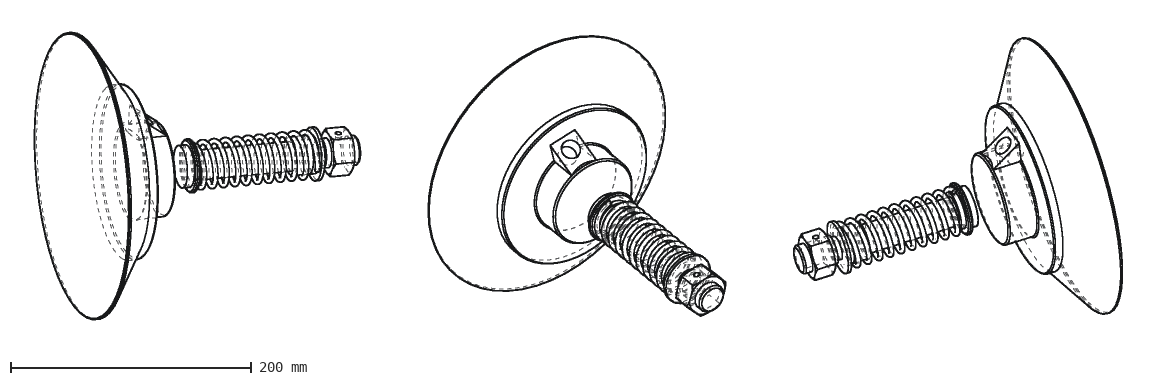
import cadquery as cq
import math

OVERALL_LENGTH = 242.0
TILT = 13.0

CUP_DIA = 239.8
CUP_FACE_DIA = 237.6
LIP_HEIGHT = 2.2
LIP_CHAMFER = 0.7
RING_DIA = 147.0
RING_BOTTOM = 34.4
RING_TOP = 42.4
RING_CHAMFER = 1.2
HUB_DIA = 80.0
HUB_TOP = 69.2
HUB_CHAMFER = 1.5
HUB_FOOT = 1.2

PORT_WIDTH = 25.7
PORT_TOP = HUB_TOP - HUB_CHAMFER
PORT_TOP_REACH = 38.2
PORT_BASE_REACH = 56.5
PORT_HOLE_DIA = 16.0
PORT_HOLE_DEPTH = 17.0
PORT_HOLE_HEIGHT = 52.3

BASE_DIA = 35.5
BASE_START = 87.0
FLANGE_DIA = 45.0
LOWER_FLANGE_START = 93.5
LOWER_FLANGE_END = 97.5
LOWER_FLANGE_CHAMFER = 1.2
LOWER_COLLAR_END = 102.0
COLLAR_DIA = 33.0
ROD_DIA = 25.0
SLEEVE_DIA = 32.5
SLEEVE_START = 184.0
UPPER_COLLAR_START = 198.7
WASHER_START = 203.8
WASHER_END = 206.7
NECK_DIA = 20.0
STUD_START = 211.5
STUD_CHAMFER = 1.7

NUT_FLATS = 35.0
NUT_START = 216.0
NUT_END = 234.5
NUT_CHAMFER = 1.2
NUT_CHAMFER_DEPTH = 2.5
NUT_HOLE_DIA = 4.8
NUT_HOLE_HEIGHT = 224.8

WIRE_DIA = 4.0
COIL_MEAN_DIA = 37.5
TURNS = 10.3
COIL_START = 99.2
COIL_END = 202.0
PITCH = (COIL_END - COIL_START) / TURNS


def turn(profile):
    """Revolve a closed (radius, Y) sketch about the Y axis."""
    return profile.close().revolve(360, (0, 0, 0), (0, 1, 0))


def tilt(shape):
    """Turn a shape about the Y axis to the common angular position."""
    return shape.rotate((0, 0, 0), (0, 1, 0), TILT)


def make_port_tab():
    """Wedge whose sloping face carries the port."""
    tab = (
        cq.Workplane("YZ")
        .polyline([
            (RING_TOP, 0),
            (RING_TOP, PORT_BASE_REACH),
            (PORT_TOP, PORT_TOP_REACH),
            (PORT_TOP, 0),
        ])
        .close()
        .extrude(PORT_WIDTH / 2, both=True)
    )
    return tilt(tab)


def make_port_hole():
    """Blind hole square to the sloping face of the tab."""
    rise = PORT_TOP - RING_TOP
    run = PORT_BASE_REACH - PORT_TOP_REACH
    reach = PORT_BASE_REACH - run * (PORT_HOLE_HEIGHT - RING_TOP) / rise
    face = cq.Plane(
        origin=(0, PORT_HOLE_HEIGHT, reach),
        xDir=(1, 0, 0),
        normal=(0, run, rise),
    )
    hole = cq.Workplane(face).circle(PORT_HOLE_DIA / 2).extrude(-PORT_HOLE_DEPTH)
    return tilt(hole)


def make_cup():
    cup_r = CUP_DIA / 2
    ring_r = RING_DIA / 2
    hub_r = HUB_DIA / 2
    profile = (
        cq.Workplane("XY")
        .lineTo(CUP_FACE_DIA / 2, 0)
        .lineTo(cup_r, LIP_CHAMFER)
        .lineTo(cup_r, LIP_HEIGHT)
        .lineTo(ring_r, RING_BOTTOM)
        .lineTo(ring_r, RING_TOP - RING_CHAMFER)
        .lineTo(ring_r - RING_CHAMFER, RING_TOP)
        .lineTo(hub_r + HUB_FOOT, RING_TOP)
        .lineTo(hub_r, RING_TOP + HUB_FOOT)
        .lineTo(hub_r, HUB_TOP - HUB_CHAMFER)
        .lineTo(hub_r - HUB_CHAMFER, HUB_TOP)
        .lineTo(0, HUB_TOP)
    )
    return turn(profile).union(make_port_tab()).cut(make_port_hole())


def make_rod():
    """Stepped rod with its base, flanges, collars and stud."""
    rim = LOWER_FLANGE_CHAMFER
    flange_r = FLANGE_DIA / 2
    rod_r = ROD_DIA / 2
    profile = (
        cq.Workplane("XY")
        .moveTo(0, BASE_START)
        .lineTo(BASE_DIA / 2, BASE_START)
        .lineTo(BASE_DIA / 2, LOWER_FLANGE_START)
        .lineTo(flange_r - rim, LOWER_FLANGE_START)
        .lineTo(flange_r, LOWER_FLANGE_START + rim)
        .lineTo(flange_r, LOWER_FLANGE_END - rim)
        .lineTo(flange_r - rim, LOWER_FLANGE_END)
        .lineTo(COLLAR_DIA / 2, LOWER_FLANGE_END)
        .lineTo(COLLAR_DIA / 2, LOWER_COLLAR_END)
        .lineTo(rod_r, LOWER_COLLAR_END)
        .lineTo(rod_r, SLEEVE_START)
        .lineTo(SLEEVE_DIA / 2, SLEEVE_START)
        .lineTo(SLEEVE_DIA / 2, UPPER_COLLAR_START)
        .lineTo(COLLAR_DIA / 2, UPPER_COLLAR_START)
        .lineTo(COLLAR_DIA / 2, WASHER_START)
        .lineTo(flange_r, WASHER_START)
        .lineTo(flange_r, WASHER_END)
        .lineTo(NECK_DIA / 2, WASHER_END)
        .lineTo(NECK_DIA / 2, STUD_START)
        .lineTo(rod_r, STUD_START)
        .lineTo(rod_r, OVERALL_LENGTH - STUD_CHAMFER)
        .lineTo(rod_r - STUD_CHAMFER, OVERALL_LENGTH)
        .lineTo(0, OVERALL_LENGTH)
    )
    return turn(profile)


def make_nut():
    """Hexagon nut with chamfered corners, one flat facing the tilt direction."""
    corner_r = NUT_FLATS / 2 / math.cos(math.radians(30))
    hexagon = (
        cq.Workplane("XZ", origin=(0, NUT_START, 0))
        .polygon(6, 2 * corner_r)
        .extrude(NUT_START - NUT_END)
    )
    corner_limit = turn(
        cq.Workplane("XY")
        .moveTo(0, NUT_START)
        .lineTo(corner_r - NUT_CHAMFER_DEPTH, NUT_START)
        .lineTo(corner_r, NUT_START + NUT_CHAMFER)
        .lineTo(corner_r, NUT_END - NUT_CHAMFER)
        .lineTo(corner_r - NUT_CHAMFER_DEPTH, NUT_END)
        .lineTo(0, NUT_END)
    )
    return tilt(hexagon.intersect(corner_limit))


def make_nut_hole():
    hole = (
        cq.Workplane("XY", origin=(0, NUT_HOLE_HEIGHT, ROD_DIA / 2))
        .circle(NUT_HOLE_DIA / 2)
        .extrude(NUT_FLATS / 2)
    )
    return tilt(hole)


def make_spring():
    """Right-handed round-wire coil around the rod, its ends bedded in the flange and washer."""
    coil_r = COIL_MEAN_DIA / 2
    helix = cq.Wire.makeHelix(PITCH, COIL_END - COIL_START, coil_r)
    start = cq.Plane(
        origin=(coil_r, 0, 0),
        xDir=(1, 0, 0),
        normal=(0, 2 * math.pi * coil_r, PITCH),
    )
    coil = cq.Workplane(start).circle(WIRE_DIA / 2).sweep(cq.Workplane(helix), isFrenet=True)
    coil = coil.rotate((0, 0, 0), (1, 0, 0), -90).rotate((0, 0, 0), (0, 1, 0), -90)
    return tilt(coil).translate((0, COIL_START, 0))


def make_plunger():
    return make_rod().union(make_nut()).cut(make_nut_hole()).union(make_spring())


cup = make_cup()
plunger = make_plunger()

result = cq.Compound.makeCompound([cup.val(), plunger.val()])